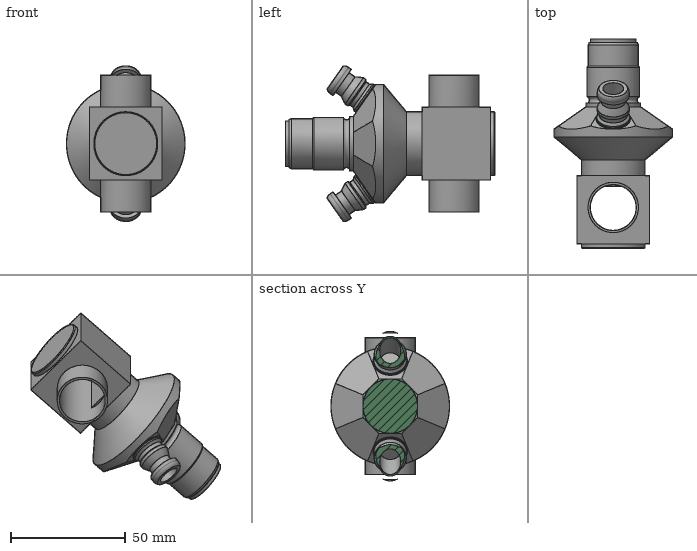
import cadquery as cq
import math


block_width = 31.95
block_front = -16.0
block_back = 13.95
pipe_diameter = 22.0
pipe_bore = 20.0
pipe_length = 59.9
bore_wall_y = 9.2

cap_diameter = 28.0
cap_front = -18.0
cap_chamfer = 0.5
neck_end = 20.8

body_diameter = 52.0
rim_start = 30.8
pyramid_top = 44.1
pyramid_top_width = 24.0
pyramid_sides = 8
nozzle_tilt = 35.0

collar_diameter = pyramid_top_width
collar_end = 45.7
groove_edge_diameter = 22.5
groove_diameter = 21.0
groove_end = 48.5
spigot_diameter = 23.1
spigot_end = 61.3
sleeve_diameter = 22.0
sleeve_start = 61.9
sleeve_end = 71.1
taper_diameter = 21.0
taper_end = 72.25
tip_diameter = 20.0
tip_end = cap_front + 91.8

nozzle_axis_radius = 19.6
nozzle_embed = 0.9
foot_base_diameter = 15.1
foot_diameter = 14.5
foot_flare_height = 0.4
foot_height = 1.1
nozzle_groove_diameter = 12.5
nozzle_groove_start = 2.3
bead_start = 4.0
bead_base = 4.6
bead_end = 6.1
bead_bulge = 0.14
bead_diameter = 14.0
throat_diameter = 10.5
throat_start = 9.3
lip_start = 12.5
lip_round_start = 14.0
lip_bulge = 0.23
nozzle_height = 16.25
lip_end_diameter = 12.5
nozzle_bore = 9.0


def y_cylinder(diameter, start, end):
    return cq.Workplane("XZ", origin=(0, start, 0)).circle(diameter / 2).extrude(start - end)


def make_block():
    block = cq.Workplane("XY").box(block_width, block_back - block_front, block_width)
    block = block.translate((0, (block_front + block_back) / 2, 0))
    cap = y_cylinder(cap_diameter, cap_front, block_front).faces("<Y").chamfer(cap_chamfer)
    pipe = cq.Workplane("XY").circle(pipe_diameter / 2).extrude(pipe_length / 2, both=True)
    return block.union(cap).union(pipe)


def make_cross_bore():
    bore = cq.Workplane("XY").circle(pipe_bore / 2).extrude(pipe_length / 2, both=True)
    wall = cq.Workplane("XY").box(block_width, block_width, block_width)
    return bore.cut(wall.translate((0, bore_wall_y + block_width / 2, 0)))


def make_body():
    body_radius = body_diameter / 2
    flare = (
        cq.Workplane("XY")
        .moveTo(0, block_back)
        .lineTo(cap_diameter / 2, block_back)
        .lineTo(cap_diameter / 2, neck_end)
        .lineTo(body_radius, rim_start)
        .lineTo(body_radius, pyramid_top)
        .lineTo(0, pyramid_top)
        .close()
        .revolve(360, (0, 0, 0), (0, 1, 0))
    )
    slope = math.tan(math.radians(nozzle_tilt))
    outer = 2 * body_radius
    top_radius = pyramid_top_width / 2
    cutter = (
        cq.Workplane("YZ")
        .moveTo(pyramid_top, top_radius)
        .lineTo(pyramid_top - (outer - top_radius) * slope, outer)
        .lineTo(pyramid_top, outer)
        .close()
        .extrude(body_diameter, both=True)
    )
    for side in range(pyramid_sides):
        flare = flare.cut(cutter.rotate((0, 0, 0), (0, 1, 0), side * 360 / pyramid_sides))
    return flare


def make_spigot():
    groove_middle = (collar_end + groove_end) / 2
    return (
        cq.Workplane("XY")
        .moveTo(0, pyramid_top)
        .lineTo(collar_diameter / 2, pyramid_top)
        .lineTo(collar_diameter / 2, collar_end)
        .lineTo(groove_edge_diameter / 2, collar_end)
        .threePointArc((groove_diameter / 2, groove_middle), (spigot_diameter / 2, groove_end))
        .lineTo(spigot_diameter / 2, spigot_end)
        .lineTo(sleeve_diameter / 2, sleeve_start)
        .lineTo(sleeve_diameter / 2, sleeve_end)
        .lineTo(taper_diameter / 2, taper_end)
        .lineTo(tip_diameter / 2, taper_end)
        .lineTo(tip_diameter / 2, tip_end)
        .lineTo(0, tip_end)
        .close()
        .revolve(360, (0, 0, 0), (0, 1, 0))
    )


def make_nozzle():
    """Upper nozzle: turned about Y, then tilted and set on the top pyramid face."""
    bead_middle_radius = (bead_diameter + throat_diameter) / 4 + bead_bulge
    lip_middle_radius = (bead_diameter + lip_end_diameter) / 4 + lip_bulge
    nozzle = (
        cq.Workplane("XY")
        .moveTo(nozzle_bore / 2, 0)
        .lineTo(nozzle_bore / 2, -nozzle_embed)
        .lineTo(foot_base_diameter / 2, -nozzle_embed)
        .lineTo(foot_base_diameter / 2, 0)
        .lineTo(foot_diameter / 2, foot_flare_height)
        .lineTo(foot_diameter / 2, foot_height)
        .lineTo(nozzle_groove_diameter / 2, nozzle_groove_start)
        .lineTo(nozzle_groove_diameter / 2, bead_start)
        .lineTo(bead_diameter / 2, bead_base)
        .lineTo(bead_diameter / 2, bead_end)
        .threePointArc(
            (bead_middle_radius, (bead_end + throat_start) / 2),
            (throat_diameter / 2, throat_start),
        )
        .lineTo(throat_diameter / 2, lip_start)
        .lineTo(bead_diameter / 2, lip_start)
        .lineTo(bead_diameter / 2, lip_round_start)
        .threePointArc(
            (lip_middle_radius, (lip_round_start + nozzle_height) / 2),
            (lip_end_diameter / 2, nozzle_height),
        )
        .lineTo(nozzle_bore / 2, nozzle_height)
        .close()
        .revolve(360, (0, 0, 0), (0, 1, 0))
    )
    slope = math.tan(math.radians(nozzle_tilt))
    base_y = pyramid_top - (nozzle_axis_radius - pyramid_top_width / 2) * slope
    nozzle = nozzle.rotate((0, 0, 0), (1, 0, 0), nozzle_tilt)
    return nozzle.translate((0, base_y, nozzle_axis_radius))


nozzle = make_nozzle()
result = make_block().union(make_body()).union(make_spigot())
result = result.cut(make_cross_bore())
result = result.union(nozzle).union(nozzle.mirror("XY"))